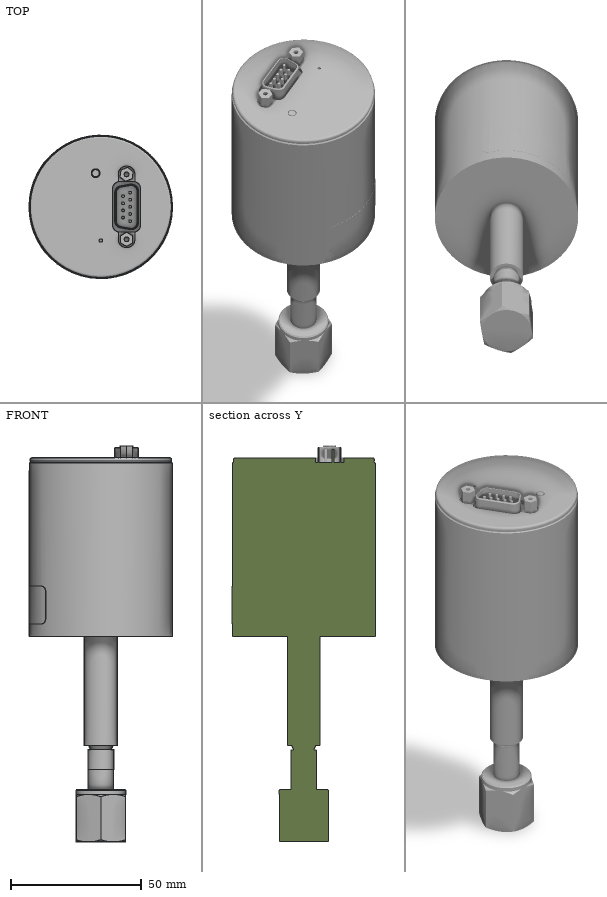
import cadquery as cq
import math

overall_height = 152.0
connector_standoff = 4.5
lid_top = overall_height - connector_standoff
seam_height = 0.6
can_top = 145.6
can_bottom = 78.7
stem_bottom = 37.0
neck_height = 1.5
neck_bottom = stem_bottom - neck_height
tube_joint = 27.8
nut_top = 20.2
hex_top = 18.2

hex_half_angle = 30

can_diameter = 55.0
can_edge_chamfer = 0.3
lid_diameter = 54.4
lid_edge_radius = 0.9
seam_diameter = 54.1
stem_diameter = 12.8
neck_top_diameter = 9.5
neck_diameter = 7.9
upper_tube_diameter = 10.0
lower_tube_diameter = 9.9

nut_across_flats = 19.0
nut_corner_diameter = nut_across_flats / math.cos(math.radians(hex_half_angle))
nut_chamfer_angle = 30
collar_diameter = 19.2
collar_chamfer = 0.5

label_width = 35.3
label_height = 14.5
label_corner_radius = 2.0
label_thickness = 0.06
label_center_height = 12.2
label_center_z = can_bottom + label_center_height

connector_x = 9.9
shell_length = 18.5
shell_width = 9.1
shell_height = 4.0
shell_wall = 0.6
shell_rim_chamfer = 0.3
shell_corner_radius = 2.7
shell_side_angle = 10
opening_length = 19.5
opening_width = 10.8
opening_corner_radius = 2.9
opening_depth = 1.8
connector_floor = lid_top - opening_depth
ear_diameter = 6.4
ear_depth = 0.6
ear_floor = lid_top - ear_depth
pin_diameter = 1.02
pin_pitch = 2.7
pin_row_spacing = 2.7
pin_projection = 3.2
pin_top = lid_top + pin_projection

screw_offset = 12.5
screw_across_flats = 4.7
screw_corner_diameter = screw_across_flats / math.cos(math.radians(hex_half_angle))
screw_hole_diameter = 1.8
screw_hole_depth = 3.0
screw_drill_angle = 118
front_screw_turn = 30
rear_screw_turn = 22
screw_turns = {-screw_offset: front_screw_turn, screw_offset: rear_screw_turn}

indicator_position = (-2.0, 12.9)
indicator_outer_diameter = 3.3
indicator_inner_diameter = 2.7
vent_position = (0, -12.9)
vent_diameter = 1.3
lid_hole_depth = 0.8


def cylinder(diameter, z_low, z_high):
    """Cylinder on the Z axis between two heights."""
    return cq.Workplane("XY").workplane(offset=z_low).circle(diameter / 2).extrude(z_high - z_low)


def make_can():
    """Can with a rounded lid above a shallow seam groove."""
    can = cylinder(can_diameter, can_bottom, can_top).faces(">Z").edges().chamfer(can_edge_chamfer)
    seam = cylinder(seam_diameter, can_top, can_top + seam_height)
    lid = cylinder(lid_diameter, can_top + seam_height, lid_top).faces(">Z").edges().fillet(lid_edge_radius)
    return can.union(seam).union(lid)


def make_stem():
    """Stem, tapered neck and the two tube lengths, turned about Z."""
    return (
        cq.Workplane("XZ")
        .moveTo(0, can_bottom)
        .lineTo(stem_diameter / 2, can_bottom)
        .lineTo(stem_diameter / 2, stem_bottom)
        .lineTo(neck_top_diameter / 2, stem_bottom)
        .lineTo(neck_diameter / 2, neck_bottom)
        .lineTo(upper_tube_diameter / 2, neck_bottom)
        .lineTo(upper_tube_diameter / 2, tube_joint)
        .lineTo(lower_tube_diameter / 2, tube_joint)
        .lineTo(lower_tube_diameter / 2, nut_top)
        .lineTo(0, nut_top)
        .close()
        .revolve(360, (0, 0), (0, 1))
    )


def make_nut():
    """Hexagonal nut with coned corners and a round collar."""
    flats = (
        cq.Workplane("XY")
        .polygon(6, nut_corner_diameter)
        .extrude(hex_top)
        .rotate((0, 0, 0), (0, 0, 1), hex_half_angle)
    )
    corner_radius = nut_corner_diameter / 2
    face_radius = nut_across_flats / 2
    cone_height = (corner_radius - face_radius) * math.tan(math.radians(nut_chamfer_angle))
    cones = (
        cq.Workplane("XZ")
        .moveTo(0, 0)
        .lineTo(face_radius, 0)
        .lineTo(corner_radius, cone_height)
        .lineTo(corner_radius, hex_top - cone_height)
        .lineTo(face_radius, hex_top)
        .lineTo(0, hex_top)
        .close()
        .revolve(360, (0, 0), (0, 1))
    )
    collar = cylinder(collar_diameter, hex_top, nut_top).faces(">Z").edges().chamfer(collar_chamfer)
    return flats.intersect(cones).union(collar)


def make_label():
    """Thin rounded plate wrapped on the -X side of the can."""
    outline = (
        cq.Workplane("YZ")
        .center(0, label_center_z)
        .rect(label_width, label_height)
        .extrude(-can_diameter)
        .edges("|X")
        .fillet(label_corner_radius)
    )
    plate_diameter = can_diameter + 2 * label_thickness
    return cylinder(plate_diameter, can_bottom, can_top - can_edge_chamfer).intersect(outline)


def d_prism(inset, z_low, z_high):
    """D-shaped prism, longer on the +X side, shrunk all round by inset."""
    half_width = shell_width / 2 - inset
    taper = half_width * math.tan(math.radians(shell_side_angle))
    half_long = shell_length / 2 - inset
    half_short = half_long - 2 * taper
    return (
        cq.Workplane("XY")
        .workplane(offset=z_low)
        .center(connector_x, 0)
        .polyline([
            (half_width, -half_long),
            (half_width, half_long),
            (-half_width, half_short),
            (-half_width, -half_short),
        ])
        .close()
        .extrude(z_high - z_low)
        .edges("|Z")
        .fillet(shell_corner_radius - inset)
    )


def make_ear_recess():
    """Round-ended recess in the lid that reaches under both jackscrews."""
    return (
        cq.Workplane("XY")
        .workplane(offset=ear_floor)
        .center(connector_x, 0)
        .slot2D(2 * screw_offset + ear_diameter, ear_diameter, 90)
        .extrude(lid_top - ear_floor)
    )


def make_opening():
    """Rounded rectangular recess around the connector shell, deeper than the ears."""
    return (
        cq.Workplane("XY")
        .workplane(offset=connector_floor)
        .center(connector_x, 0)
        .rect(opening_width, opening_length)
        .extrude(lid_top - connector_floor)
        .edges("|Z")
        .fillet(opening_corner_radius)
    )


def make_shell():
    """D-shaped connector body with a chamfered rim, before its socket is cut."""
    return d_prism(0, connector_floor, lid_top + shell_height).faces(">Z").edges().chamfer(shell_rim_chamfer)


def make_socket():
    """D-shaped cavity inside the shell."""
    return d_prism(shell_wall, connector_floor, lid_top + shell_height)


def make_pins():
    """Row of five pins on the long side and four on the short side."""
    points = []
    for side, count in ((1, 5), (-1, 4)):
        x = connector_x + side * pin_row_spacing / 2
        first_y = -pin_pitch * (count - 1) / 2
        points += [(x, first_y + pin_pitch * i) for i in range(count)]
    return (
        cq.Workplane("XY")
        .workplane(offset=connector_floor)
        .pushPoints(points)
        .circle(pin_diameter / 2)
        .extrude(pin_top - connector_floor)
    )


def make_jackscrew(y, turn):
    """Hexagonal jackscrew with a drilled, cone-bottomed hole in its top."""
    height = overall_height - ear_floor
    hole_radius = screw_hole_diameter / 2
    straight_end = height - screw_hole_depth
    point_depth = hole_radius / math.tan(math.radians(screw_drill_angle / 2))
    hole = (
        cq.Workplane("XZ")
        .moveTo(0, height)
        .lineTo(hole_radius, height)
        .lineTo(hole_radius, straight_end)
        .lineTo(0, straight_end - point_depth)
        .close()
        .revolve(360, (0, 0), (0, 1))
    )
    return (
        cq.Workplane("XY")
        .polygon(6, screw_corner_diameter)
        .extrude(height)
        .cut(hole)
        .rotate((0, 0, 0), (0, 0, 1), turn)
        .translate((connector_x, y, ear_floor))
    )


def make_lid_holes():
    """Ring groove around the indicator, and the small vent hole."""
    ring = (
        cq.Workplane("XY")
        .workplane(offset=lid_top)
        .center(*indicator_position)
        .circle(indicator_outer_diameter / 2)
        .circle(indicator_inner_diameter / 2)
        .extrude(-lid_hole_depth)
    )
    vent = (
        cq.Workplane("XY")
        .workplane(offset=lid_top)
        .center(*vent_position)
        .circle(vent_diameter / 2)
        .extrude(-lid_hole_depth)
    )
    return ring.union(vent)


result = make_can().union(make_label()).union(make_stem()).union(make_nut())
result = result.cut(make_ear_recess()).cut(make_opening()).cut(make_lid_holes())
result = result.union(make_shell()).cut(make_socket()).union(make_pins())
for screw_y, screw_turn in screw_turns.items():
    result = result.union(make_jackscrew(screw_y, screw_turn))